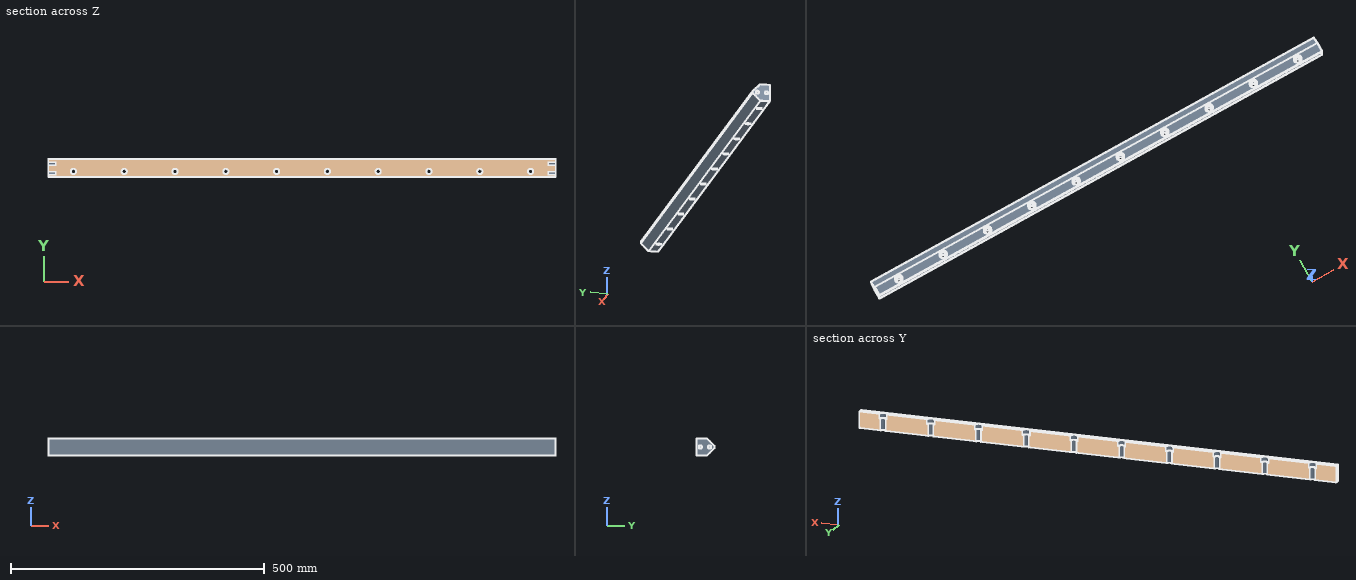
import cadquery as cq

LENGTH = 1000.0
WIDTH = 35.5
HEIGHT = 35.0

NOSE_HEIGHT = 4.0
TOP_WIDTH = WIDTH - (HEIGHT - NOSE_HEIGHT) / 2

LONG_CHAMFER = 1.4
END_CHAMFER = 1.0

HOLE_COUNT = 10
HOLE_PITCH = LENGTH / HOLE_COUNT
HOLE_Y = 11.0
HOLE_DIAMETER = 10.0
COUNTERBORE_DIAMETER = 15.0
COUNTERBORE_DEPTH = 10.0
COUNTERBORE_CHAMFER = 0.4

END_HOLE_YS = (7.5, 26.0)
END_HOLE_DIAMETER = 5.19
END_HOLE_DEPTH = 15.0
END_HOLE_MOUTH_DIAMETER = 7.0


def make_rail():
    """Extrude the V-nosed section along X, with the base on Z = 0."""
    low = (HEIGHT - NOSE_HEIGHT) / 2
    high = (HEIGHT + NOSE_HEIGHT) / 2
    section = [
        (0, 0),
        (TOP_WIDTH, 0),
        (WIDTH, low),
        (WIDTH, high),
        (TOP_WIDTH, HEIGHT),
        (0, HEIGHT),
    ]
    return cq.Workplane("YZ").polyline(section).close().extrude(LENGTH)


def chamfer_edges(rail):
    """Chamfer the long back edges, then the ends of the back, top and bottom faces."""
    rail = rail.faces("<Y").edges("|X").chamfer(LONG_CHAMFER)
    rail = rail.faces("<Y").edges("|Z").chamfer(END_CHAMFER)
    return rail.faces("<Z or >Z").edges("|Y").chamfer(END_CHAMFER)


def make_mounting_hole():
    """Revolve a through hole whose chamfered counterbore opens at the origin and runs down -Z."""
    radius = HOLE_DIAMETER / 2
    bore_radius = COUNTERBORE_DIAMETER / 2
    outline = [
        (0, 0),
        (bore_radius + COUNTERBORE_CHAMFER, 0),
        (bore_radius, -COUNTERBORE_CHAMFER),
        (bore_radius, -COUNTERBORE_DEPTH),
        (radius, -COUNTERBORE_DEPTH),
        (radius, -HEIGHT),
        (0, -HEIGHT),
    ]
    return cq.Workplane("XZ").polyline(outline).close().revolve(360, (0, 0), (0, 1))


def cut_mounting_holes(rail):
    """Cut the evenly spaced row of mounting holes down from the top face."""
    hole = make_mounting_hole()
    for index in range(HOLE_COUNT):
        x = HOLE_PITCH / 2 + index * HOLE_PITCH
        rail = rail.cut(hole.translate((x, HOLE_Y, HEIGHT)))
    return rail


def make_end_hole():
    """Revolve a blind hole that opens at the origin with a 45 degree countersink and runs along +X."""
    radius = END_HOLE_DIAMETER / 2
    mouth_radius = END_HOLE_MOUTH_DIAMETER / 2
    outline = [
        (0, 0),
        (0, mouth_radius),
        (mouth_radius - radius, radius),
        (END_HOLE_DEPTH, radius),
        (END_HOLE_DEPTH, 0),
    ]
    return cq.Workplane("XY").polyline(outline).close().revolve(360, (0, 0), (1, 0))


def cut_end_holes(rail):
    """Cut the same pair of holes into both end faces, at mid height."""
    hole = make_end_hole()
    opposite_hole = hole.mirror("YZ")
    for y in END_HOLE_YS:
        rail = rail.cut(hole.translate((0, y, HEIGHT / 2)))
        rail = rail.cut(opposite_hole.translate((LENGTH, y, HEIGHT / 2)))
    return rail


result = chamfer_edges(make_rail())
result = cut_mounting_holes(result)
result = cut_end_holes(result)